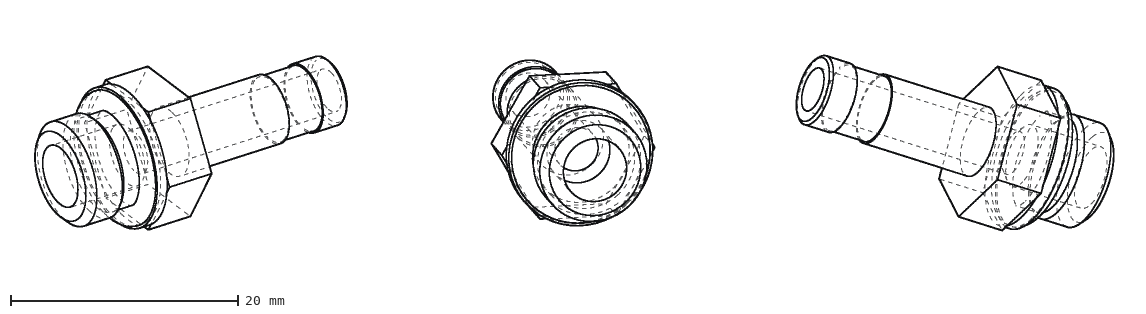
import cadquery as cq

LENGTH = 28.18

THREAD_RADIUS = 4.82
THREAD_CHAMFER = 0.7
THREAD_END = 3.38
NECK_RADIUS = 4.37
NECK_CHAMFER = THREAD_RADIUS - NECK_RADIUS

COLLAR_RADIUS = 6.48
COLLAR_FRONT = 5.95
HEX_FRONT = 7.0
HEX_BACK = 11.4
HEX_ACROSS_CORNERS = 13.75

RING_SECTION_RADIUS = 0.93
RING_CENTER_RADIUS = NECK_RADIUS + RING_SECTION_RADIUS
RING_OUTER_RADIUS = RING_CENTER_RADIUS + RING_SECTION_RADIUS

TUBE_RADIUS = 3.18
TUBE_CHAMFER = 0.25
TUBE_GROOVE_RADIUS = 3.02
TUBE_GROOVE_START = 21.95
TUBE_GROOVE_END = 25.5

BORE_RADIUS = 2.85
BORE_DEPTH = 7.0
PASSAGE_RADIUS = 1.97
BORE_CONE_LENGTH = BORE_RADIUS - PASSAGE_RADIUS


def revolve_about_y(profile):
    """Turn a profile in the XY plane (radius along X) fully around the Y axis."""
    return profile.close().revolve(360, (0, 0, 0), (0, 1, 0))


def make_turned_body():
    """Thread, neck, grooved collar and tube as one solid of revolution."""
    profile = (
        cq.Workplane("XY")
        .lineTo(THREAD_RADIUS - THREAD_CHAMFER, 0)
        .lineTo(THREAD_RADIUS, THREAD_CHAMFER)
        .lineTo(THREAD_RADIUS, THREAD_END)
        .lineTo(NECK_RADIUS, THREAD_END + NECK_CHAMFER)
        .lineTo(NECK_RADIUS, COLLAR_FRONT)
        .threePointArc(
            (RING_CENTER_RADIUS, COLLAR_FRONT + RING_SECTION_RADIUS),
            (RING_OUTER_RADIUS, COLLAR_FRONT),
        )
        .lineTo(COLLAR_RADIUS, COLLAR_FRONT)
        .lineTo(COLLAR_RADIUS, HEX_FRONT)
        .lineTo(TUBE_RADIUS, HEX_FRONT)
        .lineTo(TUBE_RADIUS, TUBE_GROOVE_START)
        .lineTo(TUBE_GROOVE_RADIUS, TUBE_GROOVE_START)
        .lineTo(TUBE_GROOVE_RADIUS, TUBE_GROOVE_END)
        .lineTo(TUBE_RADIUS, TUBE_GROOVE_END)
        .lineTo(TUBE_RADIUS, LENGTH - TUBE_CHAMFER)
        .lineTo(TUBE_RADIUS - TUBE_CHAMFER, LENGTH)
        .lineTo(0, LENGTH)
    )
    return revolve_about_y(profile)


def make_hexagon():
    """Wrench hexagon with two corners on the X axis."""
    return (
        cq.Workplane("XZ", origin=(0, HEX_FRONT, 0))
        .polygon(6, HEX_ACROSS_CORNERS)
        .extrude(HEX_FRONT - HEX_BACK)
    )


def make_bore():
    """Wide bore from the threaded end, tapering into the through passage."""
    profile = (
        cq.Workplane("XY")
        .lineTo(BORE_RADIUS, 0)
        .lineTo(BORE_RADIUS, BORE_DEPTH)
        .lineTo(PASSAGE_RADIUS, BORE_DEPTH + BORE_CONE_LENGTH)
        .lineTo(PASSAGE_RADIUS, LENGTH)
        .lineTo(0, LENGTH)
    )
    return revolve_about_y(profile)


def make_fitting():
    return make_turned_body().union(make_hexagon()).cut(make_bore())


def make_sealing_ring():
    """O-ring centred on the front face of the collar."""
    return cq.Workplane(
        cq.Solid.makeTorus(
            RING_CENTER_RADIUS,
            RING_SECTION_RADIUS,
            cq.Vector(0, COLLAR_FRONT, 0),
            cq.Vector(0, 1, 0),
        )
    )


fitting = make_fitting()
sealing_ring = make_sealing_ring()

result = cq.Compound.makeCompound([fitting.solids().val(), sealing_ring.val()])